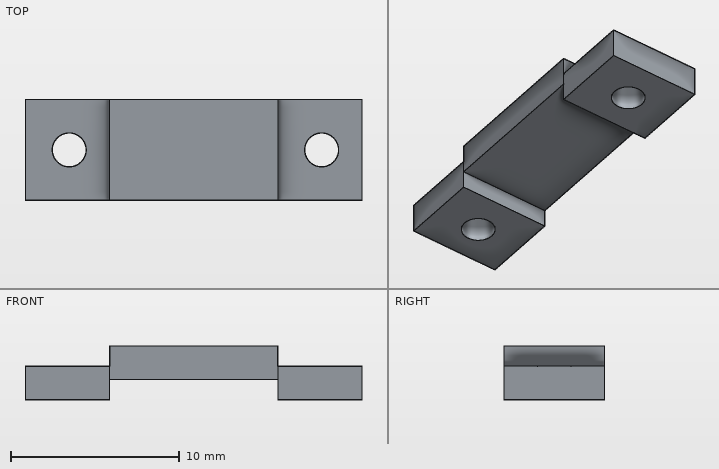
import cadquery as cq

total_length = 20.0
width = 6.0
thickness = 2.0

bridge_length = 10.0
bridge_rise = 1.2
tab_length = (total_length - bridge_length) / 2
hole_diameter = 2.0
hole_shift = 0.1


def make_bridge():
    """Plain plate in the middle, lifted above the tab undersides."""
    plate = cq.Workplane("XY").box(bridge_length, width, thickness, centered=(True, True, False))
    return plate.translate((0, 0, bridge_rise))


def make_tab(side):
    """End tab with a through hole near its centre; side is -1 for the -X end, +1 for the +X end."""
    tab = (
        cq.Workplane("XY")
        .box(tab_length, width, thickness, centered=(True, True, False))
        .faces(">Z")
        .workplane()
        .center(hole_shift, 0)
        .hole(hole_diameter)
    )
    return tab.translate((side * (bridge_length + tab_length) / 2, 0, 0))


bridge = make_bridge()
tabs = [make_tab(side) for side in (-1, 1)]

result = cq.Compound.makeCompound([bridge.val(), *[tab.val() for tab in tabs]])